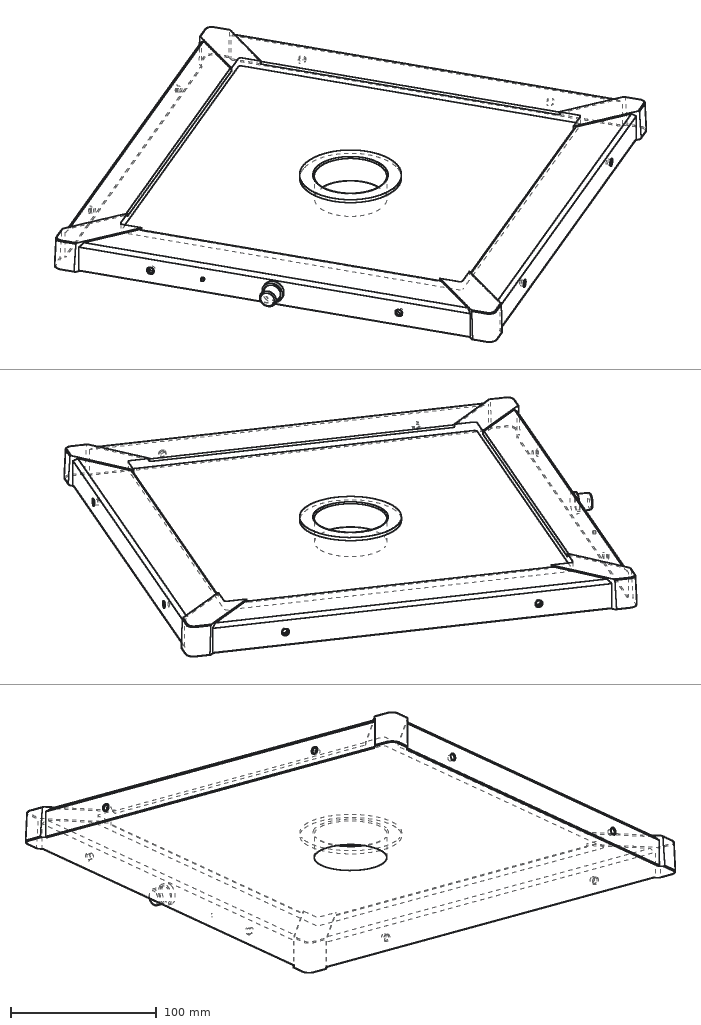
import cadquery as cq
import math

corner_width = 322.0
total_length = 332.3
total_height = 22.5

frame_width = 316.7
frame_height = 21.5
frame_bevel = 2.5
window_width = 249.0
window_bevel = 1.3
window_corner_radius = 2.0

panel_height = 16.3
ring_height = 18.5
ring_diameter = 70.0
bore_diameter = 50.0
bore_chamfer = 1.0

cap_edge_offset = 16.0
cap_corner_radius = 6.0
cap_draft_inset = 1.0
cap_bevel = 0.5
base_bevel = 0.5

connector_height = 10.5
connector_x = -0.5
screw_hole_height = 10.0
screw_hole_diameter = 4.0
screw_hole_depth = 3.3
countersink_diameter = 5.3
screw_hole_offset = 90.5
indicator_diameter = 2.3
indicator_x = -52.2
indicator_length = 1.5
flange_diameter = 15.0
flange_length = 3.0
plug_diameter = 12.0
plug_tip_diameter = 10.0

frame_half = frame_width / 2
corner_half = corner_width / 2


def front_cylinder(x, diameter, length):
    """Cylinder standing out of the -Y face of the frame."""
    return (
        cq.Workplane("XZ", origin=(x, -frame_half, connector_height))
        .circle(diameter / 2)
        .extrude(length)
    )


def make_window():
    """Square opening above the recessed panel."""
    return (
        cq.Workplane("XY", origin=(0, 0, panel_height))
        .rect(window_width, window_width)
        .extrude(total_height - panel_height)
        .edges("|Z")
        .fillet(window_corner_radius)
    )


def make_frame():
    """Square block bevelled along its outer edges, with the window sunk into its top."""
    block = (
        cq.Workplane("XY")
        .rect(frame_width, frame_width)
        .extrude(frame_height)
        .faces(">Z")
        .chamfer(frame_bevel)
        .faces("<Z")
        .chamfer(base_bevel)
    )
    window_slope = (
        cq.Workplane("XY", origin=(0, 0, frame_height))
        .rect(window_width + 2 * window_bevel, window_width + 2 * window_bevel)
        .extrude(-window_bevel, taper=45)
    )
    return block.cut(make_window()).cut(window_slope)


def make_caps():
    """Four caps cut from a drafted, rounded square by two diagonal bands."""
    drafted_height = total_height - base_bevel
    draft_angle = math.degrees(math.atan2(cap_draft_inset, drafted_height))
    outline = (
        cq.Sketch()
        .rect(corner_width, corner_width)
        .vertices()
        .fillet(cap_corner_radius)
    )
    base = cq.Workplane("XY", origin=(0, 0, base_bevel)).placeSketch(outline)
    upper = base.extrude(drafted_height, taper=draft_angle).faces(">Z").chamfer(cap_bevel)
    block = upper.union(base.extrude(-base_bevel, taper=45))
    band_length = 2 * corner_width
    band_width = math.sqrt(2) * cap_edge_offset
    band = cq.Workplane("XY").rect(band_length, band_width).extrude(total_height)
    rising_band = band.rotate((0, 0, 0), (0, 0, 1), 45)
    falling_band = band.rotate((0, 0, 0), (0, 0, 1), -45)
    diagonals = rising_band.union(falling_band)
    return block.intersect(diagonals).cut(make_window())


def make_ring():
    """Raised ring around the bore."""
    return cq.Workplane("XY").circle(ring_diameter / 2).extrude(ring_height)


def make_bore():
    """Through bore that flares at the top of the ring."""
    bore = cq.Workplane("XY").circle(bore_diameter / 2).extrude(ring_height)
    flare = (
        cq.Workplane("XY", origin=(0, 0, ring_height))
        .circle(bore_diameter / 2 + bore_chamfer)
        .extrude(-bore_chamfer, taper=45)
    )
    return bore.union(flare)


def make_screw_holes():
    """Two blind holes in each of the four side faces."""
    face = cq.Workplane("XZ", origin=(0, -frame_half, screw_hole_height))
    places = [(-screw_hole_offset, 0), (screw_hole_offset, 0)]
    shafts = face.pushPoints(places).circle(screw_hole_diameter / 2).extrude(-screw_hole_depth)
    sink_depth = (countersink_diameter - screw_hole_diameter) / 2
    sinks = face.pushPoints(places).circle(countersink_diameter / 2).extrude(-sink_depth, taper=45)
    pair = shafts.union(sinks)
    holes = pair
    for angle in (90, 180, 270):
        holes = holes.union(pair.rotate((0, 0, 0), (0, 0, 1), angle))
    return holes


def make_connector():
    """Flanged round plug near the middle of the -Y side."""
    plug_length = total_length - corner_half - frame_half
    tip_chamfer = (plug_diameter - plug_tip_diameter) / 2
    plug = front_cylinder(connector_x, plug_diameter, plug_length).faces("<Y").chamfer(tip_chamfer)
    return plug.union(front_cylinder(connector_x, flange_diameter, flange_length))


result = (
    make_frame()
    .union(make_caps())
    .union(make_ring())
    .cut(make_bore())
    .cut(make_screw_holes())
    .union(make_connector())
    .union(front_cylinder(indicator_x, indicator_diameter, indicator_length))
)